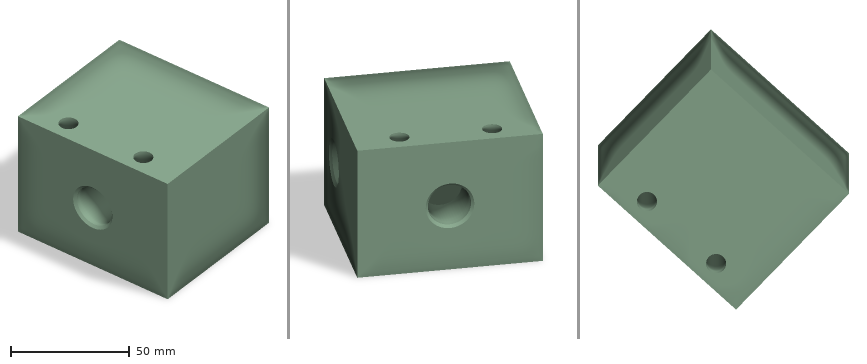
import cadquery as cq

length_x = 80.0
width_y = 70.0
height_z = 60.0

port_diameter = 18.6
port_mouth_diameter = 21.0
port_depth = 20.0
side_port_from_back = 20.5

mounting_hole_diameter = 8.5
mounting_hole_spacing = 40.0
mounting_hole_from_front = 9.0


def port_cutter(face_center, inward):
    """Flat-bottomed bore with a conical mouth, starting at a face."""
    mouth_radius = port_mouth_diameter / 2
    bore_radius = port_diameter / 2
    mouth_depth = mouth_radius - bore_radius
    bore = cq.Solid.makeCylinder(bore_radius, port_depth, face_center, inward)
    mouth = cq.Solid.makeCone(mouth_radius, bore_radius, mouth_depth, face_center, inward)
    return bore.fuse(mouth)


block = cq.Workplane("XY").box(length_x, width_y, height_z)

front_port = port_cutter(cq.Vector(0, -width_y / 2, 0), cq.Vector(0, 1, 0))
side_port = port_cutter(
    cq.Vector(-length_x / 2, width_y / 2 - side_port_from_back, 0),
    cq.Vector(1, 0, 0),
)

mounting_hole_y = -width_y / 2 + mounting_hole_from_front
mounting_holes = (
    cq.Workplane("XY")
    .workplane(offset=-height_z / 2)
    .pushPoints([(side * mounting_hole_spacing / 2, mounting_hole_y) for side in (-1, 1)])
    .circle(mounting_hole_diameter / 2)
    .extrude(height_z)
)

result = block.cut(mounting_holes).cut(front_port).cut(side_port)